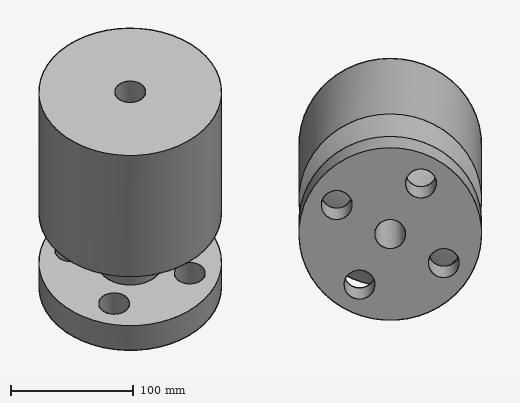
import cadquery as cq

body_diameter = 149.4
flange_diameter = body_diameter
neck_diameter = 54.0
bore_diameter = 25.1

total_height = 222.2
flange_thickness = 28.2
neck_length = 28.2
cone_height = 27.5

bolt_hole_diameter = bore_diameter
bolt_circle_radius = 50.5
bolt_hole_count = 4

neck_top = flange_thickness + neck_length
cone_top = neck_top + cone_height


def revolved_body():
    """Flange, neck, cone and cylinder as one solid of revolution about Z."""
    outline = (
        cq.Workplane("XZ")
        .moveTo(0, 0)
        .lineTo(flange_diameter / 2, 0)
        .lineTo(flange_diameter / 2, flange_thickness)
        .lineTo(neck_diameter / 2, flange_thickness)
        .lineTo(neck_diameter / 2, neck_top)
        .lineTo(body_diameter / 2, cone_top)
        .lineTo(body_diameter / 2, total_height)
        .lineTo(0, total_height)
        .close()
    )
    return outline.revolve(360, (0, 0, 0), (0, 1, 0))


def axial_bore():
    """Central hole running the full height."""
    return cq.Workplane("XY").circle(bore_diameter / 2).extrude(total_height)


def bolt_holes():
    """Evenly spaced holes through the flange only, on the X and Y axes."""
    return (
        cq.Workplane("XY")
        .polarArray(bolt_circle_radius, 0, 360, bolt_hole_count)
        .circle(bolt_hole_diameter / 2)
        .extrude(flange_thickness)
    )


result = revolved_body().cut(axial_bore()).cut(bolt_holes())